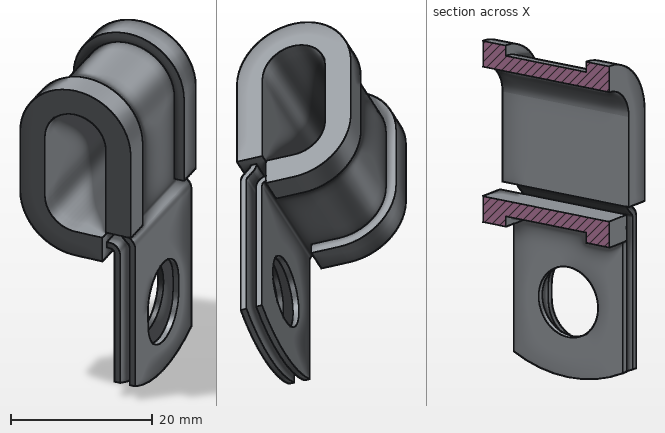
import cadquery as cq
import math

cushion_width = 22.1
cushion_radius = 8.65
bore_radius = 4.75
bend_spacing = 9.5
right_leg_end = -13.3
bottom_leg_end = 4.2
flange_width = 4.03
groove_depth = 1.5

strap_width = 19.1
strap_thickness = 0.9
strap_bend_radius = 1.2
jog_angle = math.radians(45)
tab_gap = 1.45
tab_end = cushion_radius - 49.1
tab_tip_height = 2.2
hole_diameter = 10.35
hole_height = -29.35
slot_length = 12.7


def loop_prism(outer_radius, width):
    """Open loop from the bore to outer_radius, centred on Y = 0."""
    return (
        cq.Workplane("XZ")
        .moveTo(outer_radius, right_leg_end)
        .lineTo(outer_radius, 0)
        .threePointArc((0, outer_radius), (-outer_radius, 0))
        .lineTo(-outer_radius, -bend_spacing)
        .radiusArc((0, -bend_spacing - outer_radius), -outer_radius)
        .lineTo(bottom_leg_end, -bend_spacing - outer_radius)
        .lineTo(bottom_leg_end, -bend_spacing - bore_radius)
        .lineTo(0, -bend_spacing - bore_radius)
        .radiusArc((-bore_radius, -bend_spacing), bore_radius)
        .lineTo(-bore_radius, 0)
        .threePointArc((0, bore_radius), (bore_radius, 0))
        .lineTo(bore_radius, right_leg_end)
        .close()
        .extrude(width / 2, both=True)
    )


def make_cushion():
    cushion = loop_prism(cushion_radius - groove_depth, cushion_width)
    flange = loop_prism(cushion_radius, flange_width)
    flange_offset = (cushion_width - flange_width) / 2
    for side in (-1, 1):
        cushion = cushion.union(flange.translate((0, side * flange_offset, 0)))
    return cushion


def make_strap():
    """Band swept along the middle of its thickness, from right tab to left tab."""
    loop_radius = cushion_radius - groove_depth - strap_thickness / 2
    right_tab_x = cushion_radius - strap_thickness / 2
    left_tab_x = right_tab_x - strap_thickness - tab_gap

    arc_shift = strap_bend_radius * (1 - math.cos(jog_angle))
    arc_drop = strap_bend_radius * math.sin(jog_angle)
    slope_shift = right_tab_x - loop_radius - 2 * arc_shift
    slope_drop = slope_shift / math.tan(jog_angle)
    jog_bottom = right_leg_end - 2 * arc_drop - slope_drop
    bottom_z = -bend_spacing - loop_radius

    path = (
        cq.Workplane("XZ")
        .moveTo(right_tab_x, tab_end)
        .lineTo(right_tab_x, jog_bottom)
        .radiusArc((right_tab_x - arc_shift, jog_bottom + arc_drop), -strap_bend_radius)
        .lineTo(loop_radius + arc_shift, right_leg_end - arc_drop)
        .radiusArc((loop_radius, right_leg_end), strap_bend_radius)
        .lineTo(loop_radius, 0)
        .threePointArc((0, loop_radius), (-loop_radius, 0))
        .lineTo(-loop_radius, -bend_spacing)
        .radiusArc((0, bottom_z), -loop_radius)
        .lineTo(left_tab_x - strap_bend_radius, bottom_z)
        .radiusArc((left_tab_x, bottom_z - strap_bend_radius), strap_bend_radius)
        .lineTo(left_tab_x, tab_end)
    )
    band = (
        cq.Workplane("XY", origin=(right_tab_x, 0, tab_end))
        .rect(strap_thickness, strap_width)
        .sweep(path)
    )

    half_width = strap_width / 2
    corner_z = tab_end + tab_tip_height
    tab_envelope = (
        cq.Workplane("YZ")
        .moveTo(-half_width, corner_z)
        .threePointArc((0, tab_end), (half_width, corner_z))
        .lineTo(half_width, cushion_radius)
        .lineTo(-half_width, cushion_radius)
        .close()
        .extrude(cushion_radius, both=True)
    )
    hole_plane = cq.Workplane("YZ").center(0, hole_height)
    hole = hole_plane.circle(hole_diameter / 2).extrude(cushion_radius)
    slot = (
        hole_plane.workplane(offset=left_tab_x + strap_thickness)
        .slot2D(slot_length, hole_diameter, angle=90)
        .extrude(cushion_radius)
    )
    return band.intersect(tab_envelope).cut(hole).cut(slot)


result = make_cushion().union(make_strap())